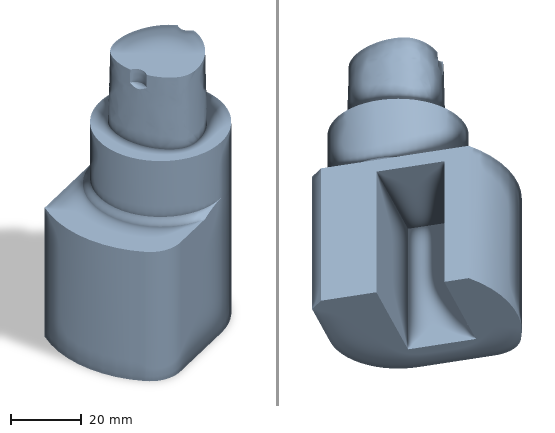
import cadquery as cq
import math

TOTAL_HEIGHT = 89.0

COLLAR_RADIUS = 40.0 / 2
FLANGE_RADIUS = 22.0
BLOCK_HEIGHT = 44.0
BLOCK_LEFT = -FLANGE_RADIUS
BLOCK_RIGHT = COLLAR_RADIUS
BLOCK_BACK = COLLAR_RADIUS
FRONT_RADIUS = 35.0
CORNER_RADIUS = 10.0
CORNER_CHAMFER = 3.65

SLOT_WIDTH = COLLAR_RADIUS
SLOT_HEIGHT = 40.05
SLOT_END_WALL = 10.0

COLLAR_TOP = 65.0
CONE_HEIGHT = FLANGE_RADIUS - COLLAR_RADIUS

SHANK_BASE_DIAMETER = 28.0
SHANK_ECCENTRICITY = 1.7
SHANK_TAPER = 1 / 20
OUTLINE_POINTS = 48
SHANK_HEIGHT = TOTAL_HEIGHT - COLLAR_TOP

NOTCH_DIAMETER = 6.2
NOTCH_DEPTH = 4.45
NOTCH_POINT_ANGLE = 118.0
FRONT_NOTCH_Y = -14.1
BACK_NOTCH_Y = 15.7


def extrude_outline(height):
    """Block outline: arc front, one chamfered rear corner and one rear corner around the collar."""
    left_end_y = -math.sqrt(FRONT_RADIUS**2 - BLOCK_LEFT**2)

    corner_x = BLOCK_RIGHT - CORNER_RADIUS
    center_distance = FRONT_RADIUS - CORNER_RADIUS
    corner_y = -math.sqrt(center_distance**2 - corner_x**2)
    tangent_scale = FRONT_RADIUS / center_distance
    tangent_point = (corner_x * tangent_scale, corner_y * tangent_scale)
    middle_angle = math.atan2(corner_y, corner_x) / 2
    corner_middle = (
        corner_x + CORNER_RADIUS * math.cos(middle_angle),
        corner_y + CORNER_RADIUS * math.sin(middle_angle),
    )
    rear_middle = COLLAR_RADIUS * math.sqrt(0.5)
    return (
        cq.Workplane("XY")
        .moveTo(BLOCK_LEFT, left_end_y)
        .threePointArc((0, -FRONT_RADIUS), tangent_point)
        .threePointArc(corner_middle, (BLOCK_RIGHT, corner_y))
        .lineTo(BLOCK_RIGHT, 0)
        .threePointArc((rear_middle, rear_middle), (0, BLOCK_BACK))
        .lineTo(BLOCK_LEFT + CORNER_CHAMFER, BLOCK_BACK)
        .lineTo(BLOCK_LEFT, BLOCK_BACK - CORNER_CHAMFER)
        .close()
        .extrude(height)
    )


def make_slot():
    """Slot volume, with its rear wall on the collar axis."""
    length = BLOCK_RIGHT - SLOT_END_WALL - BLOCK_LEFT
    return (
        cq.Workplane("XY")
        .box(length, SLOT_WIDTH, SLOT_HEIGHT, centered=False)
        .translate((BLOCK_LEFT, -SLOT_WIDTH, 0))
    )


def make_collar():
    """Collar with a 45 degree foot, cut flush with the sides of the block."""
    collar = (
        cq.Workplane("XZ")
        .moveTo(0, BLOCK_HEIGHT)
        .lineTo(FLANGE_RADIUS, BLOCK_HEIGHT)
        .lineTo(COLLAR_RADIUS, BLOCK_HEIGHT + CONE_HEIGHT)
        .lineTo(COLLAR_RADIUS, COLLAR_TOP)
        .lineTo(0, COLLAR_TOP)
        .close()
        .revolve(360, (0, 0, 0), (0, 1, 0))
    )
    return collar.intersect(extrude_outline(COLLAR_TOP))


def shank_outline(diameter):
    """Points on a three-lobed curve with one lobe toward +Y."""
    radius = diameter / 2
    e = SHANK_ECCENTRICITY
    points = []
    for i in range(OUTLINE_POINTS):
        angle = math.pi / 2 + 2 * math.pi * i / OUTLINE_POINTS
        along = radius * math.cos(angle) - e * math.cos(2 * angle) + e / 2 * math.cos(4 * angle)
        across = radius * math.sin(angle) + e * math.sin(2 * angle) + e / 2 * math.sin(4 * angle)
        points.append((across, -along))
    return points


def make_shank():
    """Tapered shank standing on the collar."""
    top_diameter = SHANK_BASE_DIAMETER - SHANK_TAPER * SHANK_HEIGHT
    return (
        cq.Workplane("XY", origin=(0, 0, COLLAR_TOP))
        .spline(shank_outline(SHANK_BASE_DIAMETER), periodic=True, makeWire=True)
        .workplane(offset=SHANK_HEIGHT)
        .spline(shank_outline(top_diameter), periodic=True, makeWire=True)
        .loft(ruled=True)
    )


def make_notch(y):
    """Vertical drill volume with a conical point, sunk from the top of the shank."""
    radius = NOTCH_DIAMETER / 2
    point_height = radius / math.tan(math.radians(NOTCH_POINT_ANGLE / 2))
    shoulder_z = TOTAL_HEIGHT - NOTCH_DEPTH
    return (
        cq.Workplane("XZ")
        .moveTo(0, shoulder_z - point_height)
        .lineTo(radius, shoulder_z)
        .lineTo(radius, TOTAL_HEIGHT)
        .lineTo(0, TOTAL_HEIGHT)
        .close()
        .revolve(360, (0, 0, 0), (0, 1, 0))
        .translate((0, y, 0))
    )


shank = make_shank()
for notch_y in (FRONT_NOTCH_Y, BACK_NOTCH_Y):
    shank = shank.cut(make_notch(notch_y))

block = extrude_outline(BLOCK_HEIGHT).cut(make_slot())
result = block.union(make_collar()).union(shank)